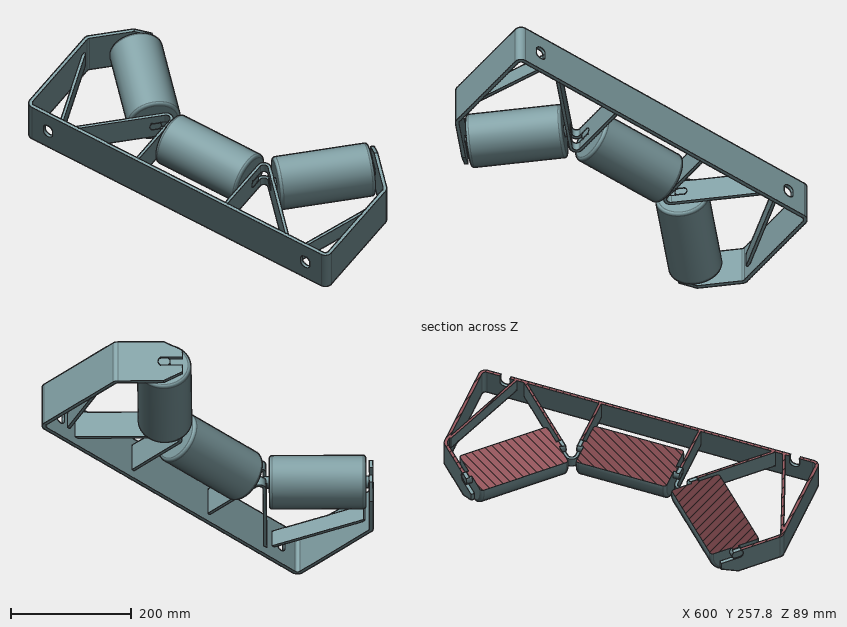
import cadquery as cq
import math

ROLLER_DIAMETER = 89.0
ROLLER_LENGTH = 160.0
RIM_FILLET = 5.0
AXLE_DIAMETER = 20.0
AXLE_FLAT_WIDTH = 14.0
AXLE_SLOT_WIDTH = 16.0
AXLE_COLLAR_LENGTH = 4.0
SIDE_GAP = 5.5
HALF_SPAN = ROLLER_LENGTH / 2 + SIDE_GAP

TILT = 45.0
MIDDLE_ROLLER_Y = 99.0
SIDE_ROLLER_X = 177.6
SIDE_ROLLER_Y = 171.8

STRAP_LENGTH = 600.0
STRAP_HEIGHT = 80.0
STRAP_THICKNESS = 6.0
STRAP_BEND_RADIUS = 12.0
STRAP_TOP_Y = 257.78
END_CUT_ALONG = 31.0
END_CUT_HEIGHT = 18.0

MOUNT_SLOT_X = 256.0
MOUNT_SLOT_WIDTH = 18.0
MOUNT_SLOT_HEIGHT = 27.0

BRACKET_HEIGHT = 50.0
BRACKET_THICKNESS = 5.0
BRACKET_BEND_RADIUS = 12.0

STRUT_HEIGHT = 30.0
STRUT_THICKNESS = 5.0
STRUT_FOOT_X = 240.0
STRUT_HEAD_Y = 158.0
STRUT_TOP_Y = 165.0

SLOT_OPENING = 40.0

COS_TILT = math.cos(math.radians(TILT))
SIN_TILT = math.sin(math.radians(TILT))
TAN_TILT = math.tan(math.radians(TILT))

ROLLER_PLACES = [
    (0.0, MIDDLE_ROLLER_Y, 0.0),
    (-SIDE_ROLLER_X, SIDE_ROLLER_Y, -TILT),
    (SIDE_ROLLER_X, SIDE_ROLLER_Y, TILT),
]


def place(body, x, y, turn):
    """Turn a body about Z and move it from the origin to its place."""
    return body.rotate((0, 0, 0), (0, 0, 1), turn).translate((x, y, 0))


def plate(points, height):
    """Upright plate, centred on Z = 0, with the given plan outline."""
    return cq.Workplane("XY").polyline(points).close().extrude(height / 2, both=True)


def with_mirror_copy(body):
    """The left-hand body together with its right-hand twin."""
    return body.union(body.mirror("YZ"))


def round_bend(body, outer_point, inner_point, outer_radius, thickness):
    """Round both sides of one sharp bend of an upright plate."""
    bend_radii = [(outer_point, outer_radius), (inner_point, outer_radius - thickness)]
    for (x, y), radius in bend_radii:
        edge = cq.selectors.NearestToPointSelector((x, y, 0))
        body = body.edges("|Z").edges(edge).fillet(radius)
    return body


def round_bar(diameter, length):
    """Round bar along X with its middle at the origin."""
    return cq.Workplane("YZ", origin=(-length / 2, 0, 0)).circle(diameter / 2).extrude(length)


def flattened_bar(length, width):
    """Bar of the axle's diameter along X with two level flats."""
    return round_bar(AXLE_DIAMETER, length).intersect(cq.Workplane("XY").box(length, AXLE_DIAMETER, width))


def make_roller():
    """Roller along X with round axle collars and flattened axle tips flush with the brackets."""
    drum = round_bar(ROLLER_DIAMETER, ROLLER_LENGTH)
    drum = drum.faces("<X or >X").edges().fillet(RIM_FILLET)
    collars = round_bar(AXLE_DIAMETER, ROLLER_LENGTH + 2 * AXLE_COLLAR_LENGTH)
    tips = flattened_bar(2 * (HALF_SPAN + BRACKET_THICKNESS), AXLE_FLAT_WIDTH)
    return drum.union(collars).union(tips)


def face_level(distance):
    """y - x of a tilted plane on the left, at a distance outward from the side roller's middle."""
    return SIDE_ROLLER_Y + SIDE_ROLLER_X * TAN_TILT + distance / COS_TILT


def make_strap_half():
    """Left half of the strap: back, side and tilted flange."""
    outer_x = -STRAP_LENGTH / 2
    inner_x = outer_x + STRAP_THICKNESS
    inner_level = face_level(HALF_SPAN)
    outer_level = face_level(HALF_SPAN + STRAP_THICKNESS)
    outer_knee = (outer_x, outer_level + outer_x * TAN_TILT)
    inner_knee = (inner_x, inner_level + inner_x * TAN_TILT)
    outer_end = ((STRAP_TOP_Y - outer_level) / TAN_TILT, STRAP_TOP_Y)
    inner_end = (
        outer_end[0] + STRAP_THICKNESS * SIN_TILT,
        outer_end[1] - STRAP_THICKNESS * COS_TILT,
    )
    outer_corner = (outer_x, 0)
    inner_corner = (inner_x, STRAP_THICKNESS)
    half = plate(
        [
            (0, 0),
            outer_corner,
            outer_knee,
            outer_end,
            inner_end,
            inner_knee,
            inner_corner,
            (0, STRAP_THICKNESS),
        ],
        STRAP_HEIGHT,
    )
    half = round_bend(half, outer_corner, inner_corner, STRAP_BEND_RADIUS, STRAP_THICKNESS)
    half = round_bend(half, outer_knee, inner_knee, STRAP_BEND_RADIUS, STRAP_THICKNESS)
    return half.cut(end_cuts(inner_end))


def end_cuts(inner_end):
    """Wedges that slope the top and bottom corners of the flange end."""
    half_height = STRAP_HEIGHT / 2
    wedge = (
        cq.Workplane("YZ")
        .polyline([(0, half_height), (-END_CUT_ALONG, half_height), (0, half_height - END_CUT_HEIGHT)])
        .close()
        .extrude(STRAP_THICKNESS * 2, both=True)
    )
    wedges = wedge.union(wedge.mirror("XY"))
    return place(wedges, *inner_end, -TILT)


def make_bracket():
    """Left bracket: an upright leg and a leg tilted like the side roller's end."""
    outer_x = -HALF_SPAN
    inner_x = outer_x - BRACKET_THICKNESS
    outer_level = face_level(-HALF_SPAN)
    inner_level = face_level(-HALF_SPAN - BRACKET_THICKNESS)
    outer_knee = (outer_x, outer_level + outer_x * TAN_TILT)
    inner_knee = (inner_x, inner_level + inner_x * TAN_TILT)
    foot_y = STRAP_THICKNESS
    bracket = plate(
        [
            (outer_x, foot_y),
            outer_knee,
            ((foot_y - outer_level) / TAN_TILT, foot_y),
            ((foot_y - inner_level) / TAN_TILT, foot_y),
            inner_knee,
            (inner_x, foot_y),
        ],
        BRACKET_HEIGHT,
    )
    return round_bend(bracket, outer_knee, inner_knee, BRACKET_BEND_RADIUS, BRACKET_THICKNESS)


def make_strut():
    """Left strut: a flat brace across the back corner of the strap."""
    wall_x = -STRAP_LENGTH / 2 + STRAP_THICKNESS
    foot_y = STRAP_THICKNESS
    slope = math.atan2(STRUT_HEAD_Y - foot_y, -STRUT_FOOT_X - wall_x)
    foot_width = STRUT_THICKNESS / math.sin(slope)
    inner_foot_x = -STRUT_FOOT_X + foot_width
    inner_top_x = inner_foot_x - (STRUT_TOP_Y - foot_y) / math.tan(slope)
    return plate(
        [
            (-STRUT_FOOT_X, foot_y),
            (wall_x, STRUT_HEAD_Y),
            (wall_x, STRUT_TOP_Y),
            (inner_top_x, STRUT_TOP_Y),
            (inner_foot_x, foot_y),
        ],
        STRUT_HEIGHT,
    )


def make_axle_slots():
    """Cutter for the two open slots that hold the tips of one axle."""
    depth = BRACKET_BEND_RADIUS
    seat = flattened_bar(depth, AXLE_SLOT_WIDTH)
    mouth = cq.Workplane("XY").box(depth, SLOT_OPENING, AXLE_SLOT_WIDTH, centered=(True, False, True))
    slot = seat.union(mouth).translate((HALF_SPAN + depth / 2, 0, 0))
    return with_mirror_copy(slot)


def make_frame():
    """Welded frame: strap, two brackets and two struts."""
    half = make_strap_half().union(make_bracket()).union(make_strut())
    frame = with_mirror_copy(half)
    mount_slots = (
        cq.Workplane("XZ")
        .pushPoints([(-MOUNT_SLOT_X, 0), (MOUNT_SLOT_X, 0)])
        .slot2D(MOUNT_SLOT_HEIGHT, MOUNT_SLOT_WIDTH, 90)
        .extrude(-STRAP_THICKNESS)
    )
    frame = frame.cut(mount_slots)
    for x, y, turn in ROLLER_PLACES:
        frame = frame.cut(place(make_axle_slots(), x, y, turn))
    return frame


frame = make_frame()
rollers = [place(make_roller(), x, y, turn) for x, y, turn in ROLLER_PLACES]

result = cq.Compound.makeCompound([frame.val(), *[roller.val() for roller in rollers]])